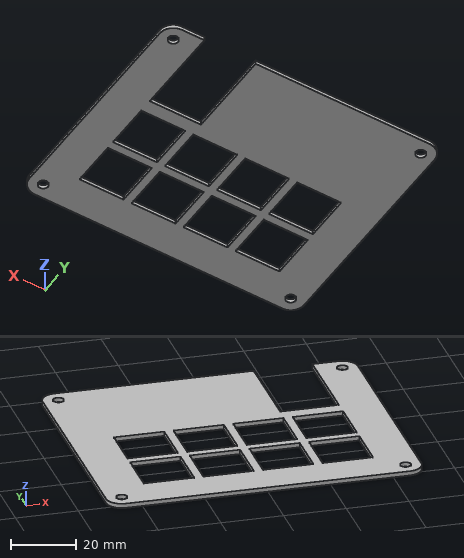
import cadquery as cq

length = 100.6
width = 84.0
thickness = 1.5
corner_radius = 5.0

hole_diameter = 3.4

columns = 4
rows = 2
window_size = 16.0
key_pitch = 19.0
right_margin = 13.3
bottom_margin = 13.0

notch_width = 18.6
notch_depth = 31.1

windows_right = length - right_margin
grid_center_x = windows_right - (window_size + (columns - 1) * key_pitch) / 2
grid_center_y = bottom_margin + (window_size + (rows - 1) * key_pitch) / 2


def make_plate():
    return (
        cq.Workplane("XY")
        .box(length, width, thickness, centered=False)
        .edges("|Z")
        .fillet(corner_radius)
    )


def make_screw_holes():
    return (
        cq.Workplane("XY")
        .center(length / 2, width / 2)
        .rect(length - 2 * corner_radius, width - 2 * corner_radius, forConstruction=True)
        .vertices()
        .circle(hole_diameter / 2)
        .extrude(thickness)
    )


def make_key_windows():
    return (
        cq.Workplane("XY")
        .center(grid_center_x, grid_center_y)
        .rarray(key_pitch, key_pitch, columns, rows)
        .rect(window_size, window_size)
        .extrude(thickness)
    )


def make_notch():
    return (
        cq.Workplane("XY")
        .box(notch_width, notch_depth, thickness, centered=False)
        .translate((windows_right - notch_width, width - notch_depth, 0))
    )


result = make_plate().cut(make_screw_holes()).cut(make_key_windows()).cut(make_notch())